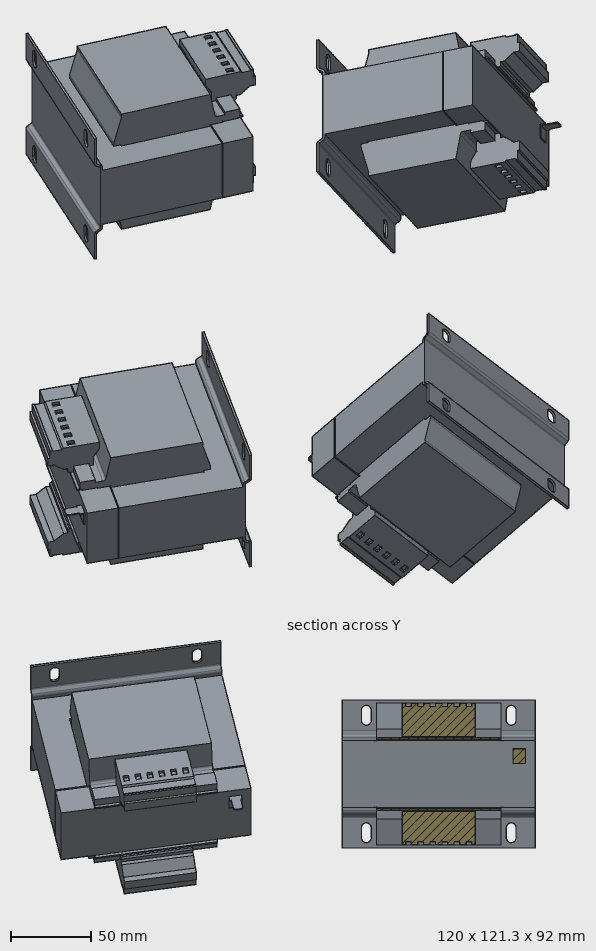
import cadquery as cq
import math


core_width = 120.0
core_depth = 100.0
core_height = 41.5
yoke_depth = 20.0
limb_width = 20.0
seam_width = 0.5
seam_depth = 0.5
seam_setback = 0.2

plate_thickness = 1.5
plate_height = 92.0
plate_step = 4.0
bend_height = 24.85
bend_slope = 31.0
bend_inner_radius = 0.75
slot_length = 12.2
slot_width = 6.0
slot_spacing_x = 90.0
slot_spacing_z = 73.0

bobbin_width = 77.5
bobbin_top = 44.1
bobbin_front = 20.9
bobbin_top_front = 26.0
bobbin_top_back = 85.0
front_lip_top = 23.1
front_slope_top = 41.4
trough_floor = 26.0
trough_front = 88.4
trough_back = 94.9
trough_radius = 2.0
ledge_top = 28.0
ledge_back = 104.8
lip_back = 106.7
lip_top = 22.7
lip_bottom = 21.6
gap_top = 21.15
gap_front = 93.5
gap_back = 103.4

terminal_pitch = 7.5
terminal_count = 6
terminal_row_width = 45.5
terminal_back = 121.3
terminal_front = 88.1
terminal_front_bottom = 39.0
terminal_foot_front = 92.1
terminal_foot_top = 32.7
terminal_bottom = 23.1
heel_back = 108.5
heel_chamfer = 1.0
heel_top = 26.5
belly_front = 111.1
belly_back = 117.3
nose_bottom = 31.4
nose_top = 37.8
rim_back = 119.8
rim_front = 118.2
rim_top = 43.6
groove_floor = 43.1
groove_front = 112.4
groove_bevel = 1.0
opening_width = 3.3
opening_length = 4.5
opening_depth = 2.0
opening_y = 105.5

tab_x = -50.0
tab_thickness = 0.8
tab_top = 15.8
tab_foot_bottom = 6.5
tab_base_width = 8.0
tab_base_back = 108.8
blade_width = 6.0
blade_tip = 117.1
blade_chamfer = 1.0

core_front = plate_step + plate_thickness
core_back = core_front + core_depth
core_top = core_height / 2
window_front = core_front + yoke_depth
window_back = core_back - yoke_depth


def box(x_range, y_range, z_range):
    """Box between the given limits."""
    size = [high - low for low, high in (x_range, y_range, z_range)]
    return cq.Workplane("XY").box(*size, centered=False).translate((x_range[0], y_range[0], z_range[0]))


def extrude_across(points, width):
    """Closed (Y, Z) outline extruded along X, centred on X = 0."""
    return cq.Workplane("YZ").polyline(points).close().extrude(width / 2, both=True)


def both_sides(body):
    """The body together with its mirror image below the core."""
    return body.union(body.mirror("XY"))


def make_core():
    core = box((-core_width / 2, core_width / 2), (core_front, core_back), (-core_top, core_top))
    window_edge = core_width / 2 - limb_width
    clearance = box((bobbin_width / 2, window_edge), (window_front, window_back), (-core_top, core_top))
    core = core.cut(clearance).cut(clearance.mirror("YZ"))
    seam_y = window_back - seam_setback
    seam_range = (seam_y - seam_width / 2, seam_y + seam_width / 2)
    half_x = core_width / 2
    ring = box((-half_x, half_x), seam_range, (-core_top, core_top))
    inner_x = half_x - seam_depth
    inner_z = core_top - seam_depth
    ring = ring.cut(box((-inner_x, inner_x), seam_range, (-inner_z, inner_z)))
    return core.cut(ring)


def round_bends(body, corners, radius):
    """Fillet the X-parallel edges at the (Y, Z) corners and at their mirror images in Z."""
    for y, z in corners:
        for side in (1, -1):
            edge = cq.selectors.NearestToPointSelector((0, y, side * z))
            body = body.edges(edge).fillet(radius)
    return body


def make_plate():
    half_rise = plate_step / 2 * math.tan(math.radians(bend_slope))
    flange_corner = bend_height + half_rise
    web_corner = bend_height - half_rise
    turn = math.radians(90 - bend_slope)
    miter = plate_thickness / 2 * math.tan(turn / 2)
    flange_outer = (0, flange_corner - miter)
    flange_inner = (plate_thickness, flange_corner + miter)
    web_outer = (core_front, web_corner + miter)
    web_inner = (plate_step, web_corner - miter)

    upper_front = [web_inner, flange_outer, (0, plate_height / 2)]
    upper_back = [(plate_thickness, plate_height / 2), flange_inner, web_outer]
    upper = upper_front + upper_back
    lower = [(y, -z) for y, z in reversed(upper)]
    plate = extrude_across(upper + lower, core_width)

    bend_outer_radius = bend_inner_radius + plate_thickness
    plate = round_bends(plate, (flange_outer, web_outer), bend_outer_radius)
    plate = round_bends(plate, (flange_inner, web_inner), bend_inner_radius)
    slots = (
        cq.Workplane("XZ")
        .rarray(slot_spacing_x, slot_spacing_z, 2, 2)
        .slot2D(slot_length, slot_width, 90)
        .extrude(-plate_thickness)
    )
    return plate.cut(slots)


def make_bobbin_end():
    outline = [
        (bobbin_front, core_top),
        (bobbin_front, front_lip_top),
        (bobbin_top_front, front_slope_top),
        (bobbin_top_front, bobbin_top),
        (bobbin_top_back, bobbin_top),
        (trough_front, trough_floor),
        (trough_back, trough_floor),
        (trough_back, ledge_top),
        (ledge_back, ledge_top),
        (ledge_back, lip_top),
        (lip_back, lip_top),
        (lip_back, lip_bottom),
        (gap_back, lip_bottom),
        (gap_back, gap_top),
        (gap_front, gap_top),
        (gap_front, core_top),
    ]
    bobbin = extrude_across(outline, bobbin_width)
    trough_corner = cq.selectors.NearestToPointSelector((0, trough_front, trough_floor))
    return bobbin.edges(trough_corner).fillet(trough_radius)


def make_terminal_row():
    outline = [
        (terminal_front, bobbin_top),
        (terminal_front, terminal_front_bottom),
        (terminal_foot_front, terminal_foot_top),
        (terminal_foot_front, terminal_bottom),
        (heel_back - heel_chamfer, terminal_bottom),
        (heel_back, terminal_bottom + heel_chamfer),
        (heel_back, heel_top),
        (belly_front, heel_top),
        (belly_back, nose_bottom),
        (terminal_back, nose_bottom),
        (terminal_back, nose_top),
        (rim_back, nose_top),
        (rim_back, rim_top),
        (rim_front, rim_top),
        (rim_front, groove_floor),
        (groove_front, groove_floor),
        (groove_front - groove_bevel, bobbin_top),
    ]
    row = extrude_across(outline, terminal_row_width)
    openings = (
        cq.Workplane("XY", origin=(0, opening_y, bobbin_top))
        .rarray(terminal_pitch, 1, terminal_count, 1)
        .rect(opening_width, opening_length)
        .extrude(-opening_depth)
    )
    return row.cut(openings)


def make_earth_tab():
    base_x = (tab_x - tab_base_width / 2, tab_x + tab_base_width / 2)
    blade_x = (tab_x - blade_width / 2, tab_x + blade_width / 2)
    blade_z = (tab_top - tab_thickness, tab_top)
    foot = box(base_x, (core_back, core_back + tab_thickness), (tab_foot_bottom, tab_top))
    base = box(base_x, (core_back, tab_base_back), blade_z)
    blade = box(blade_x, (core_back, blade_tip), blade_z)
    blade = blade.edges("|Z and >Y").chamfer(blade_chamfer)
    return foot.union(base).union(blade)


result = (
    make_core()
    .union(make_plate())
    .union(both_sides(make_bobbin_end()))
    .union(both_sides(make_terminal_row()))
    .union(make_earth_tab())
)